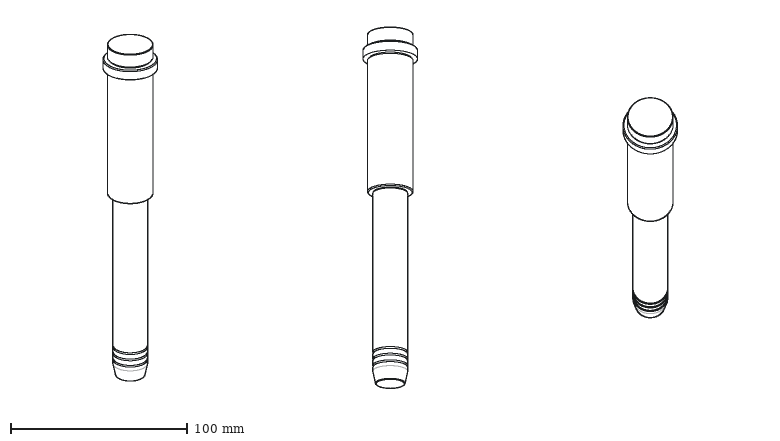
import cadquery as cq

length = 210.0
flange_diameter = 31.0
body_diameter = 26.0
pilot_diameter = 20.0

head_length = 9.0
flange_thickness = 5.9
body_bottom = 114.9
edge_chamfer = 0.6
top_chamfer = 0.5
flange_top = length - head_length
flange_bottom = flange_top - flange_thickness

relief_width = 1.0
relief_depth = 0.8
pilot_relief_width = 0.6
pilot_relief_depth = 0.2

groove_count = 3
groove_pitch = 4.0
groove_width = 1.0
groove_depth = 0.5
lowest_groove_center = 10.5

taper_length = 7.5
tip_diameter = 16.8
tip_chamfer = 0.5


def cylinder(diameter, bottom, top):
    return cq.Workplane("XY").workplane(offset=bottom).circle(diameter / 2).extrude(top - bottom)


def turned(outline):
    """Solid of revolution about Z from a closed radius-height outline."""
    return outline.close().revolve(360, (0, 0, 0), (0, 1, 0))


def ring_groove(center):
    """Shallow ring on the pilot with a rounded bottom."""
    radius = pilot_diameter / 2
    half_width = groove_width / 2
    outline = (
        cq.Workplane("XZ")
        .moveTo(radius, center - half_width)
        .threePointArc((radius - groove_depth, center), (radius, center + half_width))
    )
    return turned(outline)


def relief_groove(diameter, shoulder, width, depth):
    """Undercut deepest at the shoulder; a negative width runs downward."""
    radius = diameter / 2
    outline = (
        cq.Workplane("XZ")
        .moveTo(radius - depth, shoulder)
        .lineTo(radius, shoulder)
        .lineTo(radius, shoulder + width)
    )
    return turned(outline)


body = cylinder(body_diameter, body_bottom, length)
body = body.faces("<Z").chamfer(edge_chamfer)
body = body.faces(">Z").chamfer(top_chamfer)
body = body.cut(relief_groove(body_diameter, flange_top, relief_width, relief_depth))
body = body.cut(relief_groove(body_diameter, flange_bottom, -relief_width, relief_depth))
flange = cylinder(flange_diameter, flange_bottom, flange_top)
flange = flange.faces(">Z").chamfer(edge_chamfer)

pilot = cylinder(pilot_diameter, taper_length, body_bottom)
for index in range(groove_count):
    pilot = pilot.cut(ring_groove(lowest_groove_center + index * groove_pitch))
pilot = pilot.cut(relief_groove(pilot_diameter, body_bottom, -pilot_relief_width, pilot_relief_depth))

tip = (
    cq.Workplane("XY")
    .circle(tip_diameter / 2)
    .workplane(offset=taper_length)
    .circle(pilot_diameter / 2)
    .loft(ruled=True)
)
tip = tip.faces("<Z").chamfer(tip_chamfer)

result = body.union(flange).union(pilot).union(tip)